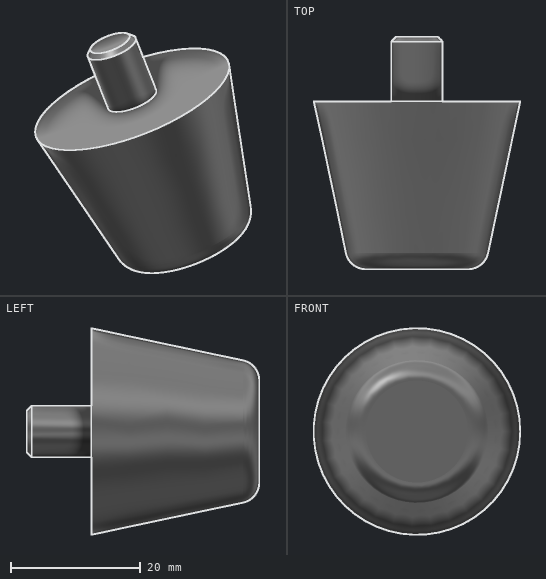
import cadquery as cq

total_length = 36.0
stud_length = 10.0
stud_diameter = 8.0
stud_chamfer = 0.75
base_diameter = 32.0
tip_diameter = 21.0
tip_rounding = 3.2

buffer_length = total_length - stud_length


def make_buffer():
    """Tapered buffer, widest at the mounting face, with a rounded tip at -Y."""
    cone = (
        cq.Workplane("XY")
        .moveTo(0, 0)
        .lineTo(base_diameter / 2, 0)
        .lineTo(tip_diameter / 2, -buffer_length)
        .lineTo(0, -buffer_length)
        .close()
        .revolve(360, (0, 0, 0), (0, 1, 0))
    )
    return cone.faces("<Y").edges().fillet(tip_rounding)


def make_stud():
    """Plain stud standing on the mounting face, with a chamfered free end."""
    shaft = cq.Workplane("XZ").circle(stud_diameter / 2).extrude(-stud_length)
    return shaft.faces(">Y").edges().chamfer(stud_chamfer)


buffer = make_buffer()
stud = make_stud()

result = cq.Compound.makeCompound([buffer.val(), stud.val()])